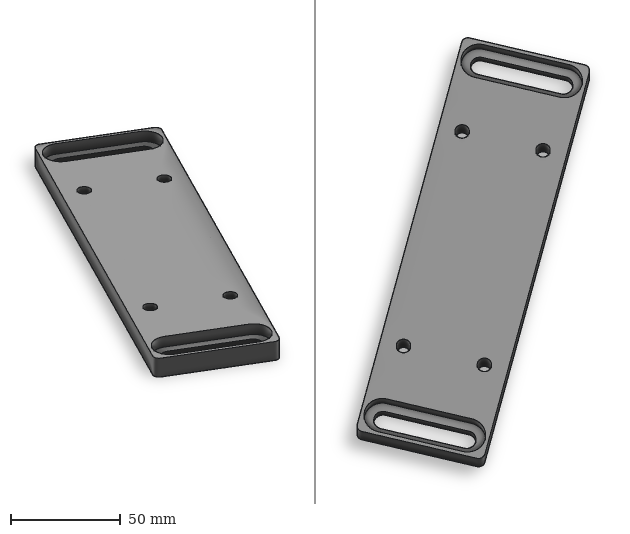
import cadquery as cq

length = 200.0
width = 60.0
thickness = 10.0
corner_radius = 3.0

slot_spacing = 180.0
slot_length = 47.8
slot_width = 8.5
recess_length = 56.5
recess_width = 16.5
recess_depth = 5.5

hole_diameter = 6.5
hole_spacing_x = 109.0
hole_spacing_y = 38.0


def slot_pair(along, across, depth):
    """Solids for both end slots, reaching down from the top face."""
    return (
        cq.Workplane("XY", origin=(0, 0, thickness))
        .rarray(slot_spacing, 2, 2, 1)
        .slot2D(along, across, 90)
        .extrude(-depth)
    )


plate = (
    cq.Workplane("XY")
    .box(length, width, thickness, centered=(True, True, False))
    .edges("|Z")
    .fillet(corner_radius)
)

mounting_holes = (
    cq.Workplane("XY")
    .rarray(hole_spacing_x, hole_spacing_y, 2, 2)
    .circle(hole_diameter / 2)
    .extrude(thickness)
)

through_slots = slot_pair(slot_length, slot_width, thickness)
recesses = slot_pair(recess_length, recess_width, recess_depth)

result = plate.cut(mounting_holes).cut(through_slots).cut(recesses)